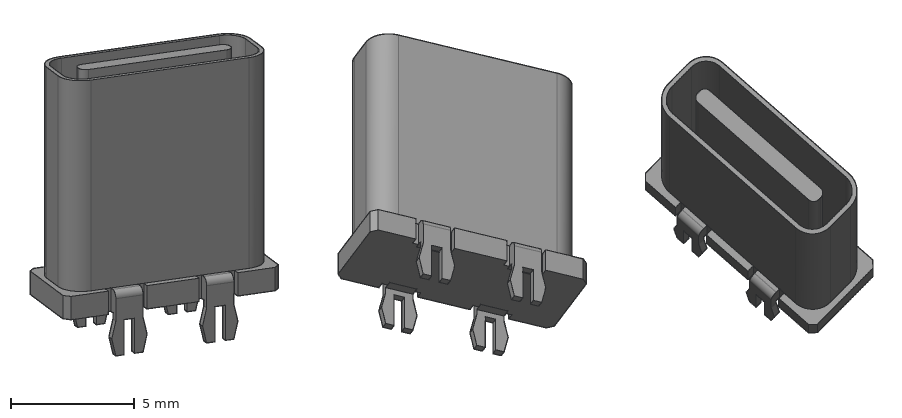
import cadquery as cq

base_width = 3.8
base_length = 9.5
base_height = 1.0
base_corner_chamfer = 0.25
tongue_width = 0.7
tongue_length = 6.7
tongue_corner_radius = 0.3

tube_width = 3.17
tube_length = 8.97
tube_height = 9.0
tube_wall = 0.2
tube_corner_radius = 1.0

leg_span = 4.16
leg_thickness = 0.3
leg_neck_width = 1.2
leg_bulge_width = 1.56
leg_tip_width = 1.2
leg_slot_width = 0.46
leg_drop_below_base = 1.75
leg_neck_below_base = 0.25
leg_bulge_below_base = 1.0
leg_spacing = 4.0

notch_length = 1.7

tongue_height = tube_height
leg_outer_x = leg_span / 2
leg_root_x = tube_width / 2 - tube_wall
leg_neck_z = -base_height - leg_neck_below_base
leg_bulge_z = -base_height - leg_bulge_below_base
leg_tip_z = -base_height - leg_drop_below_base
leg_sites = [(side, y) for side in (-1, 1) for y in (-leg_spacing / 2, leg_spacing / 2)]


def placed_on_side(body, side):
    """Keep a body made on the +X side, or mirror it to the -X side."""
    return body if side > 0 else body.mirror("YZ")


def make_tube():
    """Open rounded tube, without legs."""
    outer = (
        cq.Workplane("XY")
        .rect(tube_width, tube_length)
        .extrude(tube_height)
        .edges("|Z")
        .fillet(tube_corner_radius)
    )
    bore = (
        cq.Workplane("XY")
        .rect(tube_width - 2 * tube_wall, tube_length - 2 * tube_wall)
        .extrude(tube_height)
        .edges("|Z")
        .fillet(tube_corner_radius - tube_wall)
    )
    return outer.cut(bore)


def make_leg(side, y):
    """Leg with a thick root reaching under the tube wall, a rounded shoulder and a split, bulged tip."""
    profile = (
        cq.Workplane("XZ", origin=(0, y, 0))
        .moveTo(leg_root_x, 0)
        .lineTo(leg_outer_x - leg_thickness, 0)
        .radiusArc((leg_outer_x, -leg_thickness), leg_thickness)
        .lineTo(leg_outer_x, leg_tip_z)
        .lineTo(leg_outer_x - leg_thickness, leg_tip_z)
        .lineTo(leg_outer_x - leg_thickness, -base_height)
        .lineTo(leg_root_x, -base_height)
        .close()
        .extrude(leg_bulge_width / 2, both=True)
    )
    half_outline = [
        (leg_neck_width / 2, 0),
        (leg_neck_width / 2, leg_neck_z),
        (leg_bulge_width / 2, leg_bulge_z),
        (leg_tip_width / 2, leg_tip_z),
        (leg_slot_width / 2, leg_tip_z),
        (leg_slot_width / 2, leg_neck_z),
    ]
    other_half = [(-across, z) for across, z in reversed(half_outline)]
    silhouette = (
        cq.Workplane("YZ", origin=(0, y, 0))
        .polyline(half_outline + other_half)
        .close()
        .extrude(leg_outer_x)
    )
    return placed_on_side(profile.intersect(silhouette), side)


def make_shell():
    """Tube and its four legs in one piece."""
    shell = make_tube()
    for side, y in leg_sites:
        shell = shell.union(make_leg(side, y))
    return shell


def make_notch(side, y):
    """Cutter for the full-height clearance around a leg, up to the outer face of the tube."""
    depth = (base_width - tube_width) / 2
    return cq.Workplane("XY").box(depth, notch_length, base_height).translate(
        (side * (tube_width + depth) / 2, y, -base_height / 2)
    )


def make_leg_pocket(side, y):
    """Cutter for the recess that holds the leg root under the tube wall."""
    return cq.Workplane("XY").box(tube_wall, leg_neck_width, base_height).translate(
        (side * (leg_root_x + tube_wall / 2), y, -base_height / 2)
    )


def make_tongue():
    """Flat contact tongue with rounded corners, level with the rim of the tube."""
    return (
        cq.Workplane("XY")
        .rect(tongue_width, tongue_length)
        .extrude(tongue_height)
        .edges("|Z")
        .fillet(tongue_corner_radius)
    )


def make_housing():
    """Base plate with leg clearances, and the tongue standing on it."""
    housing = (
        cq.Workplane("XY")
        .rect(base_width, base_length)
        .extrude(-base_height)
        .edges("|Z")
        .chamfer(base_corner_chamfer)
    )
    for side, y in leg_sites:
        housing = housing.cut(make_notch(side, y)).cut(make_leg_pocket(side, y))
    return housing.union(make_tongue())


shell = make_shell()
housing = make_housing()

result = cq.Compound.makeCompound([shell.val(), housing.val()])